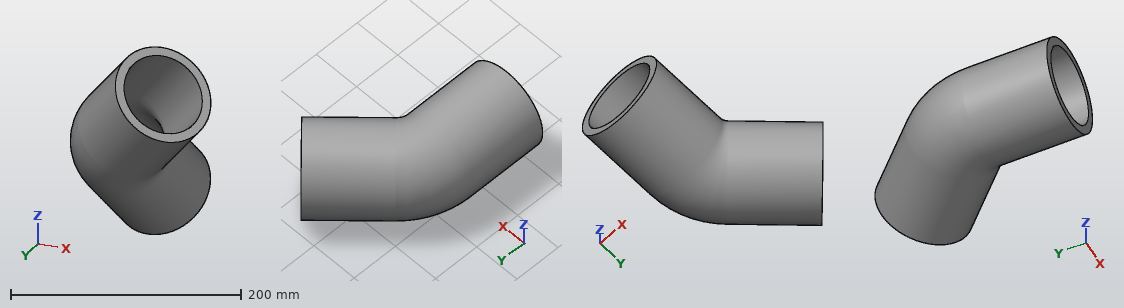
import cadquery as cq
import math

outer_diameter = 90.0
bore_diameter = 73.7
leg_length = 82.5
bend_radius = 52.0
bend_angle = 45.0


def centreline():
    """Path in the XY plane: straight leg along +Y, bend, second straight leg."""
    half_turn = math.radians(bend_angle / 2)
    turn = math.radians(bend_angle)

    def bend_point(angle):
        return (
            bend_radius * (1 - math.cos(angle)),
            leg_length + bend_radius * math.sin(angle),
        )

    bend_end = bend_point(turn)
    far_end = (
        bend_end[0] + leg_length * math.sin(turn),
        bend_end[1] + leg_length * math.cos(turn),
    )
    return (
        cq.Workplane("XY")
        .lineTo(0, leg_length)
        .threePointArc(bend_point(half_turn), bend_end)
        .lineTo(*far_end)
    )


pipe_section = cq.Workplane("XZ").circle(outer_diameter / 2).circle(bore_diameter / 2)
result = pipe_section.sweep(centreline())